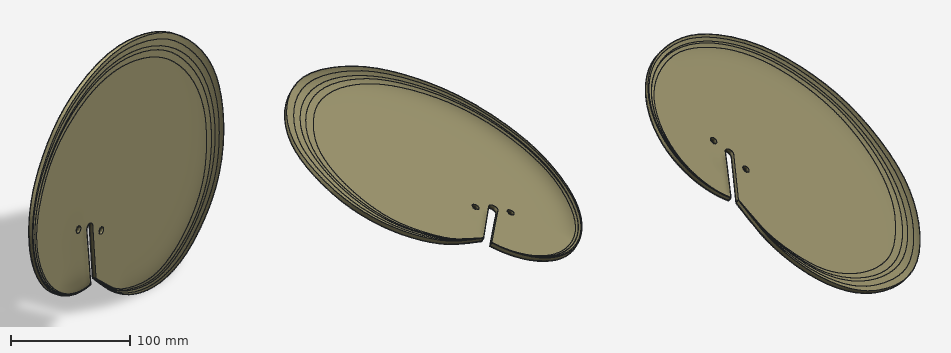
import cadquery as cq
import math


THICKNESS = 4.0

SLOT_FAR_CORNER = (53.7, -80.7)
SLOT_FAR_TANGENT = (59.5, -27.3)
SLOT_TIP = (55.5, -23.5)
SLOT_NEAR_TANGENT = (51.0, -27.3)
SLOT_NEAR_CORNER = (46.2, -78.8)

HOLE_DIAMETER = 6.5
HOLE_CENTERS = [(38.5, -37.0), (71.5, -22.3)]

BAND_END_WIDTH = 0.22

STATIONS = [-45, -30, -15, 0, 15, 30, 45, 60, 80, 100, 120,
            140, 160, 175, 190, 205, 220, 235, 250, 265, 280, 290]

CORE_RADII = [112.0, 124.7, 131.0, 132.5, 129.0, 124.7, 118.3, 112.7, 106.5, 102.5, 101.8,
              103.5, 108.0, 112.1, 116.0, 120.8, 122.0, 121.0, 118.0, 110.0, 101.8, 95.5]

BAND_WIDTHS = [
    [0.3, 1.28, 1.85, 2.6, 3.5, 3.3, 4.5, 4.7, 5.3, 5.8, 6.5,
     6.5, 6.7, 6.7, 7.2, 6.5, 5.8, 4.5, 3.0, 1.86, 1.03, 0.5],
    [0.22, 0.22, 0.22, 0.22, 0.3, 1.25, 1.7, 2.37, 3.0, 3.5, 3.5,
     4.7, 5.0, 5.3, 5.3, 4.5, 3.3, 3.3, 2.2, 1.5, 0.5, 0.33],
    [0.8, 0.97, 1.9, 2.3, 3.3, 3.3, 4.2, 4.2, 5.0, 5.3, 6.0,
     5.8, 6.7, 6.5, 6.0, 6.7, 5.8, 5.3, 3.3, 2.4, 0.97, 0.5],
    [0.4, 1.0, 1.03, 1.05, 1.7, 2.3, 3.0, 3.5, 4.2, 5.0, 5.5,
     6.5, 7.0, 6.7, 6.7, 5.8, 5.5, 4.5, 3.3, 2.3, 0.97, 0.5],
]


def place(point):
    """Turn (across, up) into a point on the -X face."""
    across, up = point
    return cq.Vector(0, -across, up)


def polar_point(radius, degrees):
    angle = math.radians(degrees)
    return (radius * math.cos(angle), radius * math.sin(angle))


def direction_of(point):
    return math.degrees(math.atan2(point[1], point[0]))


def outline(radii, layer):
    """Smooth edge around the hub, from the far side of the slot to the near one.

    Layer 0 is the edge of the core; each band adds one.
    """
    end_drop = layer * BAND_END_WIDTH
    start = (SLOT_FAR_CORNER[0], SLOT_FAR_CORNER[1] - end_drop)
    end = (SLOT_NEAR_CORNER[0], SLOT_NEAR_CORNER[1] - end_drop)
    rim = [polar_point(radius, station) for radius, station in zip(radii, STATIONS)]
    points = [start, *rim, end]
    angles = [direction_of(SLOT_FAR_CORNER), *STATIONS, direction_of(SLOT_NEAR_CORNER) + 360]
    return cq.Edge.makeSpline([place(point) for point in points], parameters=angles)


def plate(edges):
    """Full-thickness plate bounded by a closed loop of edges."""
    wire = cq.Wire.assembleEdges(edges)
    return cq.Solid.extrudeLinear(wire, [], cq.Vector(THICKNESS, 0, 0))


def make_core(rim):
    slot_near_side = cq.Edge.makeLine(place(SLOT_NEAR_CORNER), place(SLOT_NEAR_TANGENT))
    slot_end = cq.Edge.makeThreePointArc(
        place(SLOT_NEAR_TANGENT), place(SLOT_TIP), place(SLOT_FAR_TANGENT)
    )
    slot_far_side = cq.Edge.makeLine(place(SLOT_FAR_TANGENT), place(SLOT_FAR_CORNER))
    core = cq.Workplane(obj=plate([rim, slot_near_side, slot_end, slot_far_side]))
    for center in HOLE_CENTERS:
        hole = cq.Solid.makeCylinder(
            HOLE_DIAMETER / 2, THICKNESS, place(center), cq.Vector(1, 0, 0)
        )
        core = core.cut(cq.Workplane(obj=hole))
    return core


def make_band(inner_edge, outer_edge):
    """Crescent that tapers down to a narrow end at each side of the slot."""
    far_end = cq.Edge.makeLine(inner_edge.startPoint(), outer_edge.startPoint())
    near_end = cq.Edge.makeLine(outer_edge.endPoint(), inner_edge.endPoint())
    return plate([far_end, outer_edge, near_end, inner_edge])


core_edge = outline(CORE_RADII, 0)
core = make_core(core_edge)

bands = []
inner_radii = CORE_RADII
inner_edge = core_edge
for layer, widths in enumerate(BAND_WIDTHS, start=1):
    outer_radii = [radius + width for radius, width in zip(inner_radii, widths)]
    outer_edge = outline(outer_radii, layer)
    bands.append(make_band(inner_edge, outer_edge))
    inner_radii = outer_radii
    inner_edge = outer_edge

result = cq.Compound.makeCompound([core.val(), *bands])